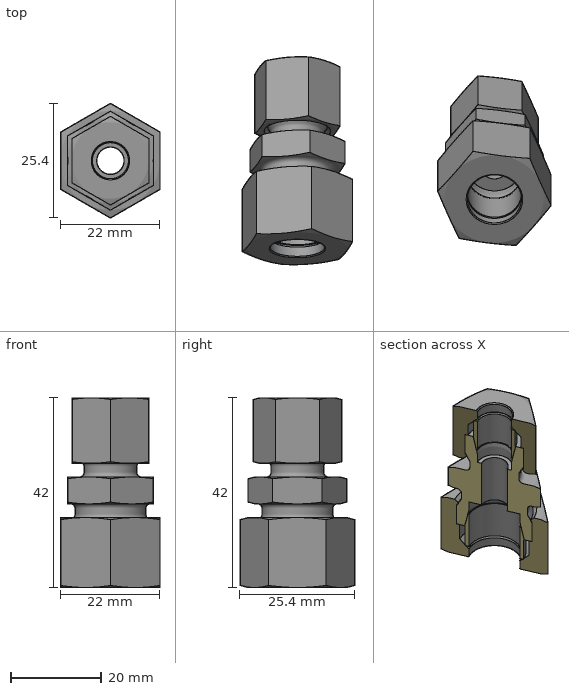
import cadquery as cq
import math

OVERALL_LENGTH = 42.0
BORE_DIAMETER = 6.0

BODY_FLATS = 19.0
BODY_HEX_BOTTOM = 18.52
BODY_HEX_TOP = 24.5

LARGE_TUBE_DIAMETER = 12.0
LARGE_THREAD_DIAMETER = 18.0
LARGE_NECK_DIAMETER = 15.7
LARGE_NUT_BORE_DIAMETER = 16.4
LARGE_NUT_FLATS = 22.0
LARGE_NUT_LENGTH = 15.5

SMALL_TUBE_DIAMETER = 8.0
SMALL_THREAD_DIAMETER = 14.0
SMALL_NECK_DIAMETER = 11.7
SMALL_NUT_BORE_DIAMETER = 12.4
SMALL_NUT_FLATS = 17.0
SMALL_NUT_LENGTH = 14.5

HEX_CHAMFER_ANGLE = 15.0
HEX_FACE_REDUCTION = 0.1

SPIGOT_LENGTH = 10.0
SOCKET_DEPTH = 7.0
NECK_WIDTH = 2.3
NECK_RADIUS = 1.0
NECK_FLANK_ANGLE = 30.0

NUT_MOUTH_CHAMFER = 0.25
THREAD_MOUTH_CLEARANCE = 0.38
CLAMP_DEPTH = 2.4
RING_FACE_WIDTH = 0.6
RING_THICKNESS = 1.0
RING_TIP_THICKNESS = 0.25
SEAT_HALF_ANGLE = 12.0


def revolve_about_z(profile):
    """Turn a closed (radius, height) outline about the Z axis."""
    return profile.close().revolve(360, (0, 0, 0), (0, 1, 0))


def turned(points):
    """Revolved solid bounded by straight lines between (radius, height) points."""
    return revolve_about_z(cq.Workplane("XZ").polyline(points))


def chamfered_hexagon(flats, bottom, top):
    """Hexagonal prism with corners on Y, its corners turned off conically at both ends."""
    corner_radius = flats / math.sqrt(3)
    face_radius = (flats - HEX_FACE_REDUCTION) / 2
    drop = (corner_radius - face_radius) * math.tan(math.radians(HEX_CHAMFER_ANGLE))
    prism = (
        cq.Workplane("XY", origin=(0, 0, bottom))
        .polygon(6, 2 * corner_radius)
        .extrude(top - bottom)
        .rotate((0, 0, 0), (0, 0, 1), 30)
    )
    envelope = turned([
        (0, bottom),
        (face_radius, bottom),
        (corner_radius, bottom + drop),
        (corner_radius, top - drop),
        (face_radius, top),
        (0, top),
    ])
    return prism.intersect(envelope)


def spigot(thread_diameter, neck_diameter, start, hex_face):
    """Spigot with an undercut neck, rounded into the body hexagon and into a conical thread flank."""
    thread_radius = thread_diameter / 2
    neck_radius = neck_diameter / 2
    corner_offset = NECK_RADIUS * math.sqrt(0.5)
    flank_angle = math.radians(NECK_FLANK_ANGLE)
    neck_start = hex_face - NECK_WIDTH

    def flank_point(angle):
        """Point on the thread-side round, at an angle turned from the neck's cylinder."""
        return (
            neck_radius + NECK_RADIUS * (1 - math.cos(angle)),
            neck_start - NECK_RADIUS * math.sin(angle),
        )

    flank_radius, flank_height = flank_point(flank_angle)
    flank_length = (thread_radius - flank_radius) / math.tan(flank_angle)
    profile = (
        cq.Workplane("XZ")
        .moveTo(0, start)
        .lineTo(thread_radius, start)
        .lineTo(thread_radius, flank_height - flank_length)
        .lineTo(flank_radius, flank_height)
        .threePointArc(flank_point(flank_angle / 2), (neck_radius, neck_start))
        .lineTo(neck_radius, hex_face - NECK_RADIUS)
        .threePointArc(
            (neck_radius + NECK_RADIUS - corner_offset, hex_face - NECK_RADIUS + corner_offset),
            (neck_radius + NECK_RADIUS, hex_face),
        )
        .lineTo(0, hex_face)
    )
    return revolve_about_z(profile)


def tube_socket(tube_diameter, start):
    """Cutter for the tube socket with the conical ring seat at its mouth."""
    tube_radius = tube_diameter / 2
    seat_length = RING_THICKNESS / math.tan(math.radians(SEAT_HALF_ANGLE))
    return turned([
        (0, start),
        (tube_radius + RING_THICKNESS, start),
        (tube_radius, start + seat_length),
        (tube_radius, start + SOCKET_DEPTH),
        (0, start + SOCKET_DEPTH),
    ])


def union_nut(tube_diameter, thread_diameter, nut_bore_diameter, flats, length, mating_spigot):
    """Hexagonal nut with a tube bore, a 45 degree clamping cone and a recess that fits its spigot."""
    tube_radius = tube_diameter / 2
    bore_radius = nut_bore_diameter / 2
    mouth_radius = thread_diameter / 2 + THREAD_MOUTH_CLEARANCE
    cavity = turned([
        (0, 0),
        (tube_radius + NUT_MOUTH_CHAMFER, 0),
        (tube_radius, NUT_MOUTH_CHAMFER),
        (tube_radius, CLAMP_DEPTH),
        (bore_radius, CLAMP_DEPTH + bore_radius - tube_radius),
        (bore_radius, length - (mouth_radius - bore_radius)),
        (mouth_radius, length),
        (0, length),
    ])
    return chamfered_hexagon(flats, 0, length).cut(cavity).cut(mating_spigot)


def cutting_ring(tube_diameter, spigot_start):
    """Ring held between the nut's clamping cone and the seat in the spigot."""
    inner_radius = tube_diameter / 2
    outer_radius = inner_radius + RING_THICKNESS
    taper = RING_THICKNESS - RING_TIP_THICKNESS
    tip = spigot_start + taper / math.tan(math.radians(SEAT_HALF_ANGLE))
    return turned([
        (inner_radius, CLAMP_DEPTH + RING_FACE_WIDTH),
        (inner_radius + RING_FACE_WIDTH, CLAMP_DEPTH + RING_FACE_WIDTH),
        (outer_radius, CLAMP_DEPTH + RING_THICKNESS),
        (outer_radius, spigot_start),
        (inner_radius + RING_TIP_THICKNESS, tip),
        (inner_radius, tip),
    ])


def at_top(part):
    """Turn an end part over so that its outer face lies at the top of the coupling."""
    return part.rotate((0, 0, 0), (1, 0, 0), 180).translate((0, 0, OVERALL_LENGTH))


large_hex_face = BODY_HEX_BOTTOM
small_hex_face = OVERALL_LENGTH - BODY_HEX_TOP
large_spigot_start = large_hex_face - SPIGOT_LENGTH
small_spigot_start = small_hex_face - SPIGOT_LENGTH

large_spigot = spigot(LARGE_THREAD_DIAMETER, LARGE_NECK_DIAMETER, large_spigot_start, large_hex_face)
small_spigot = spigot(SMALL_THREAD_DIAMETER, SMALL_NECK_DIAMETER, small_spigot_start, small_hex_face)

through_bore = cq.Workplane("XY").circle(BORE_DIAMETER / 2).extrude(OVERALL_LENGTH)
body = (
    chamfered_hexagon(BODY_FLATS, BODY_HEX_BOTTOM, BODY_HEX_TOP)
    .union(large_spigot)
    .union(at_top(small_spigot))
    .cut(tube_socket(LARGE_TUBE_DIAMETER, large_spigot_start))
    .cut(at_top(tube_socket(SMALL_TUBE_DIAMETER, small_spigot_start)))
    .cut(through_bore)
)

large_nut = union_nut(
    LARGE_TUBE_DIAMETER,
    LARGE_THREAD_DIAMETER,
    LARGE_NUT_BORE_DIAMETER,
    LARGE_NUT_FLATS,
    LARGE_NUT_LENGTH,
    large_spigot,
)
small_nut = at_top(union_nut(
    SMALL_TUBE_DIAMETER,
    SMALL_THREAD_DIAMETER,
    SMALL_NUT_BORE_DIAMETER,
    SMALL_NUT_FLATS,
    SMALL_NUT_LENGTH,
    small_spigot,
))

large_ring = cutting_ring(LARGE_TUBE_DIAMETER, large_spigot_start)
small_ring = at_top(cutting_ring(SMALL_TUBE_DIAMETER, small_spigot_start))

result = cq.Compound.makeCompound([
    *body.solids().vals(),
    *large_nut.solids().vals(),
    *small_nut.solids().vals(),
    large_ring.val(),
    small_ring.val(),
])